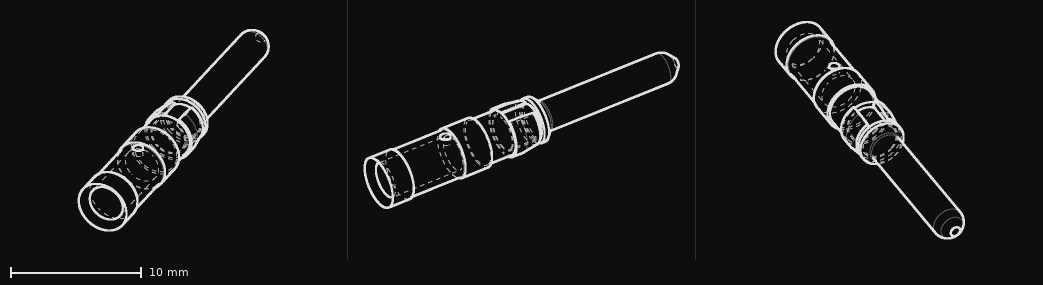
import cadquery as cq
import math

length = 26.8

pin_radius = 2.5 / 2
tip_radius = 0.8 / 2
collar_radius = 3.7 / 2
neck_radius = 2.8 / 2
barrel_radius = 3.9 / 2
ring_radius = 4.1 / 2
bore_radius = 2.85 / 2
vent_radius = 0.8 / 2

flange_end = 1.9
ring_start = 6.57
ring_end = 8.95
neck_start = 11.18
collar_start = 13.8

diagonal = math.sqrt(0.5)

nose_blend_radius = 1.0
nose_blend_inset = nose_blend_radius * (1 - diagonal)
nose_cone_radius = pin_radius - nose_blend_inset
nose_cone_start = length - (nose_cone_radius - tip_radius)
nose_start = nose_cone_start - nose_blend_radius * diagonal

collar_bevel_start = 14.2
collar_blend_radius = 0.25
bevel_end_radius = pin_radius + collar_blend_radius * (1 - diagonal)
bevel_end = collar_bevel_start + collar_radius - bevel_end_radius
collar_end = bevel_end + collar_blend_radius * diagonal

barrel_fillet = ring_radius - barrel_radius

clip_front = 13.75
clip_bevel_start = 13.43
clip_taper_start = 12.15
clip_bore_radius = 3.0 / 2
clip_front_radius = 3.05 / 2
clip_bevel_radius = 3.65 / 2
clip_radius = 4.02 / 2
clip_gap_half_angle = 20
clip_gap_apex_z = -0.7

funnel_depth = ring_radius - bore_radius
bore_depth = 6.7
drill_point_angle = 118
vent_y = 6.0


def fillet_midpoint(center_y, y_sign):
    """Middle point of a quarter-arc fillet between the barrel and a raised band."""
    center_x = barrel_radius + barrel_fillet
    return (center_x - barrel_fillet * diagonal, center_y + y_sign * barrel_fillet * diagonal)


def revolve_about_y(profile):
    return profile.close().revolve(360, (0, 0), (0, 1))


def make_body():
    flange_mid = fillet_midpoint(flange_end + barrel_fillet, -1)
    ring_mid = fillet_midpoint(ring_start - barrel_fillet, 1)
    half_blend_angle = math.radians(45) / 2
    collar_mid = (
        pin_radius + collar_blend_radius * (1 - math.cos(half_blend_angle)),
        collar_end - collar_blend_radius * math.sin(half_blend_angle),
    )
    nose_mid = (
        pin_radius - nose_blend_radius * (1 - math.cos(half_blend_angle)),
        nose_start + nose_blend_radius * math.sin(half_blend_angle),
    )
    profile = (
        cq.Workplane("XY")
        .moveTo(0, 0)
        .lineTo(ring_radius, 0)
        .lineTo(ring_radius, flange_end)
        .threePointArc(flange_mid, (barrel_radius, flange_end + barrel_fillet))
        .lineTo(barrel_radius, ring_start - barrel_fillet)
        .threePointArc(ring_mid, (ring_radius, ring_start))
        .lineTo(ring_radius, ring_end)
        .lineTo(collar_radius, ring_end)
        .lineTo(collar_radius, neck_start)
        .lineTo(neck_radius, neck_start)
        .lineTo(neck_radius, collar_start)
        .lineTo(collar_radius, collar_start)
        .lineTo(collar_radius, collar_bevel_start)
        .lineTo(bevel_end_radius, bevel_end)
        .threePointArc(collar_mid, (pin_radius, collar_end))
        .lineTo(pin_radius, nose_start)
        .threePointArc(nose_mid, (nose_cone_radius, nose_cone_start))
        .lineTo(tip_radius, length)
        .lineTo(0, length)
    )
    return revolve_about_y(profile)


def make_clip():
    """Tapered sleeve with a flared gap on its +Z side."""
    sleeve = revolve_about_y(
        cq.Workplane("XY")
        .moveTo(clip_bore_radius, neck_start)
        .lineTo(clip_radius, neck_start)
        .lineTo(clip_radius, clip_taper_start)
        .lineTo(clip_bevel_radius, clip_bevel_start)
        .lineTo(clip_front_radius, clip_front)
        .lineTo(clip_bore_radius, clip_front)
    )
    gap_slope = math.tan(math.radians(clip_gap_half_angle))
    gap_top_half_width = (clip_radius - clip_gap_apex_z) * gap_slope
    gap_base_half_width = -clip_gap_apex_z * gap_slope
    gap = (
        cq.Workplane("XZ", origin=(0, clip_front, 0))
        .moveTo(-gap_base_half_width, 0)
        .lineTo(gap_base_half_width, 0)
        .lineTo(gap_top_half_width, clip_radius)
        .lineTo(-gap_top_half_width, clip_radius)
        .close()
        .extrude(clip_front - neck_start)
    )
    return sleeve.cut(gap)


def make_wire_bore():
    """Blind bore with a conical bottom and a funnel mouth meeting the outer edge."""
    drill_tip = bore_depth + bore_radius / math.tan(math.radians(drill_point_angle / 2))
    return revolve_about_y(
        cq.Workplane("XY")
        .moveTo(0, 0)
        .lineTo(ring_radius, 0)
        .lineTo(bore_radius, funnel_depth)
        .lineTo(bore_radius, bore_depth)
        .lineTo(0, drill_tip)
    )


def make_vent():
    """Inspection hole from the +Z side into the wire bore."""
    return cq.Workplane("XY", origin=(0, vent_y, 0)).circle(vent_radius).extrude(ring_radius)


result = make_body().union(make_clip()).cut(make_wire_bore()).cut(make_vent())